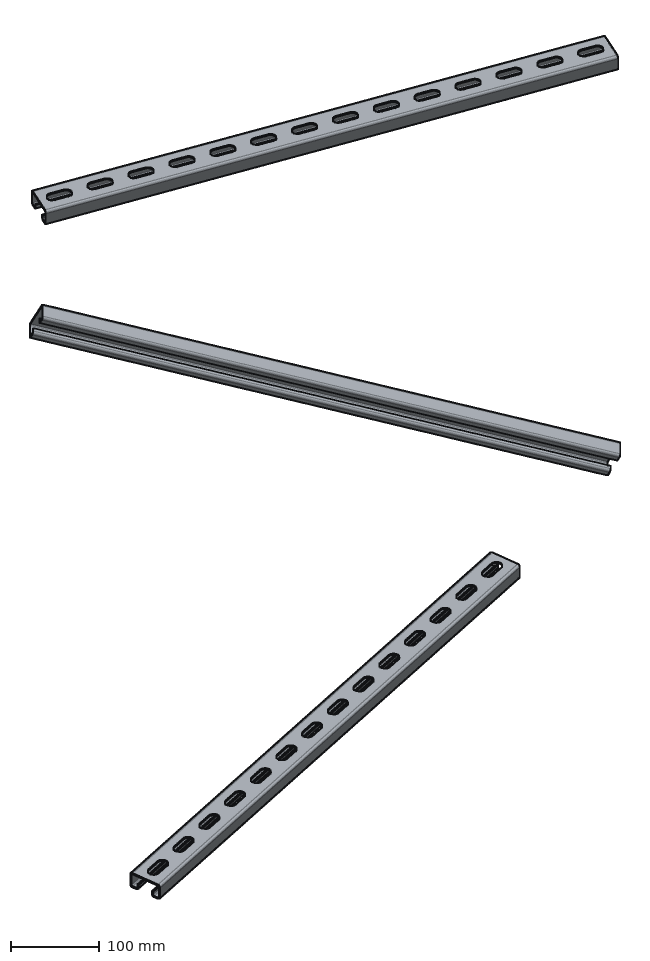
import cadquery as cq

length = 700.0
width = 41.0
height = 21.0
thickness = 2.0
bend_radius = 3.15
opening = 18.0
lip_height = 7.0

slot_count = 14
slot_length = 30.0
slot_width = 13.0
slot_pitch = length / slot_count

inner_bend_radius = bend_radius - thickness


def block(size_x, size_z, center_x, bottom_z):
    """Full-length bar along Y with its underside at bottom_z."""
    return (
        cq.Workplane("XY")
        .box(size_x, length, size_z, centered=(True, True, False))
        .translate((center_x, 0, bottom_z))
    )


def make_channel():
    """Rounded solid bar, hollowed to a closed tube, then opened between the lips."""
    outer = block(width, height, 0, 0).edges("|Y").fillet(bend_radius)
    cavity = (
        block(width - 2 * thickness, height - 2 * thickness, 0, thickness)
        .edges("|Y")
        .fillet(inner_bend_radius)
    )
    mouth = block(opening, height - thickness, 0, 0)
    return outer.cut(cavity).cut(mouth)


def make_lip(side):
    """Upright lip on the inner end of a bottom flange; side is -1 for left, +1 for right."""
    return block(thickness, lip_height, side * (opening + thickness) / 2, 0)


def round_lip_bends(channel):
    """Round the outside and inside of the bend where each lip meets its flange."""
    for side in (-1, 1):
        outside = (side * opening / 2, 0, 0)
        inside = (side * (opening / 2 + thickness), 0, thickness)
        channel = channel.edges(cq.NearestToPointSelector(outside)).fillet(bend_radius)
        channel = channel.edges(cq.NearestToPointSelector(inside)).fillet(inner_bend_radius)
    return channel


def make_slots():
    """Row of lengthwise slots, deep enough to pass through the web only."""
    return (
        cq.Workplane("XY")
        .workplane(offset=height - thickness)
        .rarray(7, slot_pitch, 1, slot_count)
        .slot2D(slot_length, slot_width, 90)
        .extrude(thickness)
    )


channel = make_channel()
for side in (-1, 1):
    channel = channel.union(make_lip(side))
result = round_lip_bends(channel).cut(make_slots())